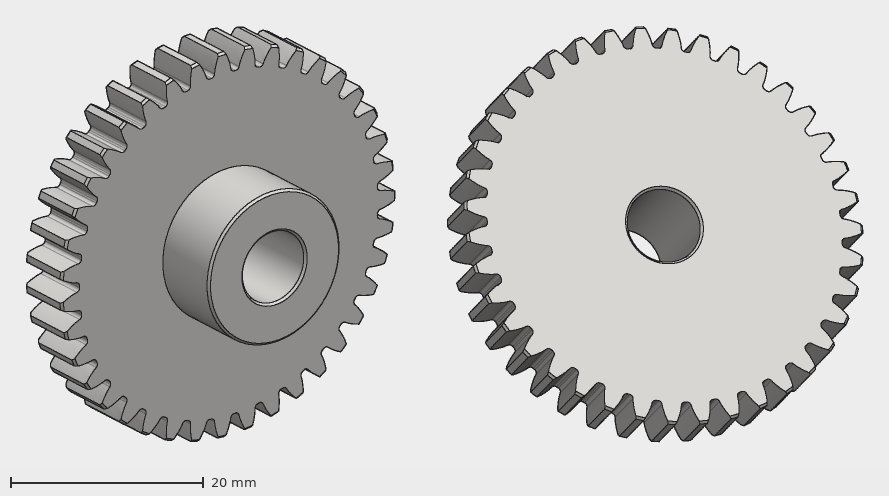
import cadquery as cq
import math

tooth_count = 39
pressure_angle = math.radians(20)
outer_diameter = 43.4
gear_width = 6.35
overall_length = 14.27
hub_diameter = 17.1
bore_diameter = 7.95
edge_chamfer = 0.25

dedendum_factor = 1.25
root_fillet_factor = 0.4
module = outer_diameter / (tooth_count + 2)
outer_radius = outer_diameter / 2
pitch_radius = module * tooth_count / 2
root_radius = pitch_radius - dedendum_factor * module
base_radius = pitch_radius * math.cos(pressure_angle)
tooth_pitch_angle = 2 * math.pi / tooth_count
root_fillet_radius = root_fillet_factor * module
flank_point_count = 6


def polar(radius, angle):
    return radius * math.cos(angle), radius * math.sin(angle)


def involute(angle):
    return math.tan(angle) - angle


def half_tooth_angle(radius):
    """Angle from the tooth centreline to its involute flank at a given radius."""
    local_pressure_angle = math.acos(base_radius / radius)
    return tooth_pitch_angle / 4 + involute(pressure_angle) - involute(local_pressure_angle)


fillet_centre_radius = root_radius + root_fillet_radius
fillet_centre_angle = half_tooth_angle(fillet_centre_radius) + root_fillet_radius / base_radius
flank_start_length = math.sqrt(fillet_centre_radius**2 - base_radius**2) - root_fillet_radius
flank_start_radius = math.hypot(base_radius, flank_start_length)
flank_start_angle = half_tooth_angle(flank_start_radius)


def fillet_midpoint(tooth_angle, side):
    """Middle of the root fillet beside a tooth; side is -1 or +1."""
    centre = cq.Vector(*polar(fillet_centre_radius, tooth_angle + side * fillet_centre_angle))
    flank_end = cq.Vector(*polar(flank_start_radius, tooth_angle + side * flank_start_angle))
    root_end = cq.Vector(*polar(root_radius, tooth_angle + side * fillet_centre_angle))
    towards_middle = ((flank_end + root_end) * 0.5 - centre).normalized()
    return (centre + towards_middle * root_fillet_radius).toTuple()[:2]


def gear_outline():
    """Closed tooth outline with one tooth centred on +Y."""
    flank_step = (outer_radius - flank_start_radius) / (flank_point_count - 1)
    flank_radii = [flank_start_radius + i * flank_step for i in range(flank_point_count)]
    outline = cq.Workplane("YZ").moveTo(*polar(root_radius, -fillet_centre_angle))
    for tooth in range(tooth_count):
        centre = tooth * tooth_pitch_angle
        rising = [polar(r, centre - half_tooth_angle(r)) for r in flank_radii]
        falling = [polar(r, centre + half_tooth_angle(r)) for r in reversed(flank_radii)]
        root_start = polar(root_radius, centre + fillet_centre_angle)
        root_middle = polar(root_radius, centre + tooth_pitch_angle / 2)
        root_end = polar(root_radius, centre + tooth_pitch_angle - fillet_centre_angle)
        outline = outline.threePointArc(fillet_midpoint(centre, -1), rising[0])
        outline = outline.spline(rising[1:], includeCurrent=True)
        outline = outline.threePointArc(polar(outer_radius, centre), falling[0])
        outline = outline.spline(falling[1:], includeCurrent=True)
        outline = outline.threePointArc(fillet_midpoint(centre, 1), root_start)
        outline = outline.threePointArc(root_middle, root_end)
    return outline.close()


def toothed_wheel():
    """Toothed disc whose tips are bevelled at both faces by a chamfered blank."""
    blank = cq.Workplane("YZ").circle(outer_radius).extrude(gear_width).edges().chamfer(edge_chamfer)
    return gear_outline().extrude(gear_width).intersect(blank)


def hub():
    body = cq.Workplane("YZ").circle(hub_diameter / 2).extrude(overall_length)
    return body.faces(">X").edges().chamfer(edge_chamfer)


def bore():
    """Through bore, flared by a chamfer at each end."""
    bore_radius = bore_diameter / 2
    mouth_radius = bore_radius + edge_chamfer
    half_section = [
        (0, 0),
        (0, mouth_radius),
        (edge_chamfer, bore_radius),
        (overall_length - edge_chamfer, bore_radius),
        (overall_length, mouth_radius),
        (overall_length, 0),
    ]
    return cq.Workplane("XY").polyline(half_section).close().revolve(360, (0, 0), (1, 0))


result = toothed_wheel().union(hub()).cut(bore())